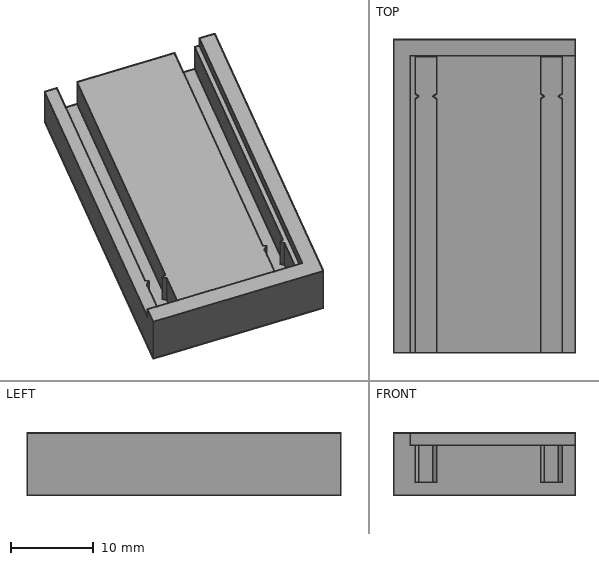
import cadquery as cq

block_width = 22.0
block_length = 38.0
block_height = 7.6

rim_width = 2.0
recess_depth = 1.5
recess_floor_z = block_height - recess_depth

slot_width = 2.6
slot_depth = 4.5
slot_back_wall = 2.1
slot_length = block_length - slot_back_wall
slot_floor_z = recess_floor_z - slot_depth
left_slot_x = 2.6
slot_spacing = 15.2
slot_positions = [left_slot_x, left_slot_x + slot_spacing]

rib_height = 0.45
rib_base = 0.6
rib_distance_from_back = 6.9
rib_y = block_length - rib_distance_from_back


def make_block():
    return cq.Workplane("XY").box(block_width, block_length, block_height, centered=False)


def make_recess():
    return (
        cq.Workplane("XY", origin=(rim_width, 0, recess_floor_z))
        .box(block_width - rim_width, block_length - rim_width, recess_depth, centered=False)
    )


def make_rib(wall_x, direction):
    """Upright triangular rib whose tip points along direction (+1 or -1 in X)."""
    return (
        cq.Workplane("XY", origin=(wall_x, rib_y, slot_floor_z))
        .moveTo(0, -rib_base / 2)
        .lineTo(direction * rib_height, 0)
        .lineTo(0, rib_base / 2)
        .close()
        .extrude(slot_depth)
    )


def make_slot(left_x):
    """Slot volume with the two facing ribs left standing."""
    slot = (
        cq.Workplane("XY", origin=(left_x, 0, slot_floor_z))
        .box(slot_width, slot_length, slot_depth, centered=False)
    )
    left_rib = make_rib(left_x, 1)
    right_rib = make_rib(left_x + slot_width, -1)
    return slot.cut(left_rib).cut(right_rib)


result = make_block().cut(make_recess())
for slot_x in slot_positions:
    result = result.cut(make_slot(slot_x))